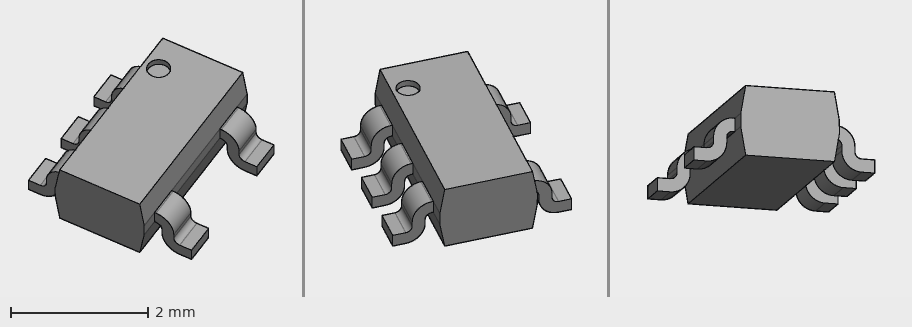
import cadquery as cq
import math


span = 2.75
body_width = 1.5
body_length = 3.0
body_height = 1.05
standoff = 0.05
draft_angle = 10.0

lead_thickness = 0.2
lead_width = 0.5
lead_pitch = 0.95
foot_flat = 0.2
inner_bend_radius = 0.1

mark_diameter = 0.35
mark_depth = 0.1
mark_edge_distance = 0.25

half_width = body_width / 2
body_top = standoff + body_height
body_middle = standoff + body_height / 2
lead_top = body_middle + lead_thickness / 2
lead_underside = body_middle - lead_thickness / 2
draft_inset = (body_top - lead_top) * math.tan(math.radians(draft_angle))
half_face_width = half_width - draft_inset
outer_bend_radius = inner_bend_radius + lead_thickness


def make_body():
    """Moulded body: drafted sides around a vertical band as tall as the leads, with a pin 1 recess."""
    body = (
        cq.Workplane("XZ")
        .moveTo(-half_face_width, standoff)
        .lineTo(half_face_width, standoff)
        .lineTo(half_width, lead_underside)
        .lineTo(half_width, lead_top)
        .lineTo(half_face_width, body_top)
        .lineTo(-half_face_width, body_top)
        .lineTo(-half_width, lead_top)
        .lineTo(-half_width, lead_underside)
        .close()
        .extrude(body_length / 2, both=True)
    )
    pin_1_mark = (
        cq.Workplane("XY")
        .workplane(offset=body_top - mark_depth)
        .center(-half_face_width + mark_edge_distance, lead_pitch)
        .circle(mark_diameter / 2)
        .extrude(mark_depth)
    )
    return body.cut(pin_1_mark)


def make_lead(side, y_centre):
    """Gull-wing lead butting against the body band; side is -1 for -X and +1 for +X."""
    tip = side * span / 2
    foot_end = tip - side * foot_flat
    riser_outside = foot_end - side * inner_bend_radius
    riser_inside = riser_outside - side * lead_thickness
    shoulder = riser_outside - side * outer_bend_radius
    body_face = side * half_width
    riser_bottom = outer_bend_radius
    riser_top = lead_top - outer_bend_radius

    return (
        cq.Workplane("XZ", origin=(0, y_centre, 0))
        .moveTo(tip, 0)
        .lineTo(foot_end, 0)
        .radiusArc((riser_inside, riser_bottom), side * outer_bend_radius)
        .lineTo(riser_inside, riser_top)
        .radiusArc((shoulder, lead_underside), -side * inner_bend_radius)
        .lineTo(body_face, lead_underside)
        .lineTo(body_face, lead_top)
        .lineTo(shoulder, lead_top)
        .radiusArc((riser_outside, riser_top), side * outer_bend_radius)
        .lineTo(riser_outside, riser_bottom)
        .radiusArc((foot_end, lead_thickness), -side * inner_bend_radius)
        .lineTo(tip, lead_thickness)
        .close()
        .extrude(lead_width / 2, both=True)
    )


body = make_body()

lead_rows = {-1: (-lead_pitch, 0, lead_pitch), 1: (-lead_pitch, lead_pitch)}
leads = []
for side, y_centres in lead_rows.items():
    for y_centre in y_centres:
        leads.append(make_lead(side, y_centre).val())

result = cq.Compound.makeCompound([body.val(), *leads])